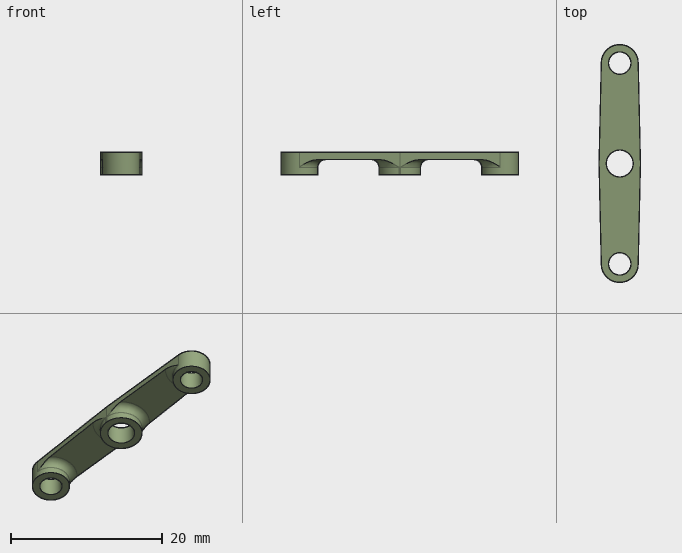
import cadquery as cq
import math

length = 31.4
height = 3.0
plate_thickness = 1.0
fillet_radius = 1.0
end_radius = 2.45
middle_radius = 2.748
end_hole_diameter = 2.92
middle_hole_diameter = 3.52

end_offset = length / 2 - end_radius
plate_bottom = height - plate_thickness
relief_width = 4 * middle_radius


def half_bar():
    """Full-height +Y half of the bar, with a round end and its widest place at the middle hole."""
    return (
        cq.Workplane("XY")
        .moveTo(middle_radius, 0)
        .lineTo(end_radius, end_offset)
        .threePointArc((0, length / 2), (-end_radius, end_offset))
        .lineTo(-middle_radius, 0)
        .close()
        .extrude(height)
    )


def flared_boss(radius, y):
    """Round boss that flares into the plate through a concave fillet."""
    flare_radius = radius + fillet_radius
    flare_start = plate_bottom - fillet_radius
    arc_reach = fillet_radius * math.sqrt(0.5)
    return (
        cq.Workplane("YZ")
        .lineTo(radius, 0)
        .lineTo(radius, flare_start)
        .threePointArc(
            (flare_radius - arc_reach, flare_start + arc_reach),
            (flare_radius, plate_bottom),
        )
        .lineTo(0, plate_bottom)
        .close()
        .revolve(360, (0, 0, 0), (0, 1, 0))
        .translate((0, y, 0))
    )


def underside_relief():
    """Space below the +Y half of the plate, between the middle boss and the end boss."""
    return (
        cq.Workplane("XY")
        .center(0, end_offset / 2)
        .rect(relief_width, end_offset)
        .extrude(plate_bottom)
        .cut(flared_boss(middle_radius, 0))
        .cut(flared_boss(end_radius, end_offset))
    )


half_body = half_bar().cut(underside_relief())
body = half_body.union(half_body.mirror("XZ"))

end_holes = (
    cq.Workplane("XY")
    .pushPoints([(0, -end_offset), (0, end_offset)])
    .circle(end_hole_diameter / 2)
    .extrude(height)
)
middle_hole = cq.Workplane("XY").circle(middle_hole_diameter / 2).extrude(height)

result = body.cut(end_holes).cut(middle_hole)